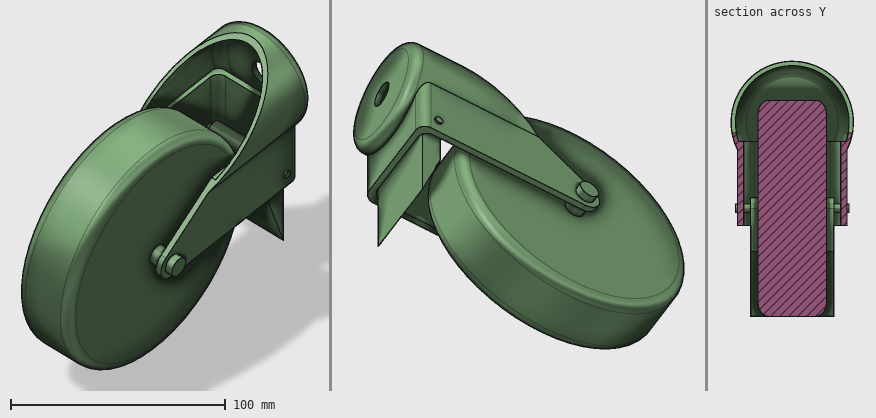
import cadquery as cq
import math


overall_length = 158.0
overall_height = 131.0

wheel_diameter = 125.0
wheel_width = 31.9
wheel_edge_radius = 5.0
axle_diameter = 10.0
axle_length = 59.0

cup_diameter = 57.0
cup_wall = 2.0
cup_floor = 3.0
cup_back_y = overall_length - wheel_diameter / 2
cup_axis_z = overall_height - wheel_diameter / 2 - cup_diameter / 2
cup_edge_radius = 5.0
cup_hole_diameter = 12.5
cup_top_front_y = 85.3

fork_width = 51.0
fork_wall = 3.0
fork_back_y = 89.7
fork_top_z = 31.1
fork_end_radius = 8.0
fork_outer_corner_radius = 5.2
fork_inner_corner_radius = 5.0

flap_width = 38.9
flap_thickness = 10.0
flap_pivot_y = 80.5
flap_slope_start_z = -20.0
flap_tip_z = -50.2
flap_pin_diameter = 4.0
flap_pin_protrusion = 1.0

clearance = 1.6


def bar_along_x(diameter, length, y=0):
    return cq.Workplane("YZ").center(y, 0).circle(diameter / 2).extrude(length / 2, both=True)


def bar_along_y(diameter, front_y, back_y):
    """Round bar on the cup axis."""
    plane = cq.Workplane("XZ", origin=(0, back_y, cup_axis_z))
    return plane.circle(diameter / 2).extrude(back_y - front_y)


def fork_block(width, back_y, bottom_z, top_z, corner_radius):
    """Upright block reaching from the fork end to back_y, with rounded back corners."""
    front_y = -fork_end_radius - clearance
    size = (width, back_y - front_y, top_z - bottom_z)
    center = (0, (front_y + back_y) / 2, (bottom_z + top_z) / 2)
    block = cq.Workplane("XY").box(*size).translate(center)
    return block.edges("|Z and >Y").fillet(corner_radius)


def side_outline():
    """Side profile: sloped from the cup top down to a rounded end around the axle."""
    cup_top_z = cup_axis_z + cup_diameter / 2
    corner_distance = math.hypot(cup_top_front_y, cup_top_z)
    corner_angle = math.atan2(cup_top_z, cup_top_front_y)
    tangent_angle = corner_angle + math.acos(fork_end_radius / corner_distance)
    tangent_point = (
        fork_end_radius * math.cos(tangent_angle),
        fork_end_radius * math.sin(tangent_angle),
    )
    return (
        cq.Workplane("YZ")
        .moveTo(cup_back_y, -fork_end_radius)
        .lineTo(cup_back_y, cup_top_z)
        .lineTo(cup_top_front_y, cup_top_z)
        .lineTo(*tangent_point)
        .threePointArc((-fork_end_radius, 0), (0, -fork_end_radius))
        .close()
        .extrude(cup_diameter / 2, both=True)
    )


def make_housing():
    front_y = -fork_end_radius - clearance
    cup = bar_along_y(cup_diameter, front_y, cup_back_y).faces(">Y").edges().fillet(cup_edge_radius)
    cavity = bar_along_y(cup_diameter - 2 * cup_wall, front_y - clearance, cup_back_y - cup_floor)
    cavity = cavity.faces(">Y").edges().fillet(cup_edge_radius)
    fork = fork_block(fork_width, fork_back_y, -fork_end_radius, fork_top_z, fork_outer_corner_radius)
    fork_space = fork_block(
        fork_width - 2 * fork_wall,
        fork_back_y - fork_wall,
        -fork_end_radius - clearance,
        fork_top_z,
        fork_inner_corner_radius,
    )
    cup_hole = bar_along_y(cup_hole_diameter, fork_back_y, cup_back_y + clearance)
    housing = cup.cut(cavity).union(fork).cut(fork_space)
    return housing.intersect(side_outline()).cut(cup_hole)


def make_wheel():
    wheel = bar_along_x(wheel_diameter, wheel_width).edges().fillet(wheel_edge_radius)
    return wheel.union(bar_along_x(axle_diameter, axle_length))


def make_brake():
    half_thickness = flap_thickness / 2
    front_y = flap_pivot_y - half_thickness
    back_y = flap_pivot_y + half_thickness
    flap = (
        cq.Workplane("YZ")
        .moveTo(front_y, 0)
        .threePointArc((flap_pivot_y, half_thickness), (back_y, 0))
        .lineTo(back_y, flap_tip_z)
        .lineTo(front_y, flap_slope_start_z)
        .close()
        .extrude(flap_width / 2, both=True)
    )
    pin_length = fork_width + 2 * flap_pin_protrusion
    return flap.union(bar_along_x(flap_pin_diameter, pin_length, flap_pivot_y))


result = make_housing().union(make_wheel()).union(make_brake())